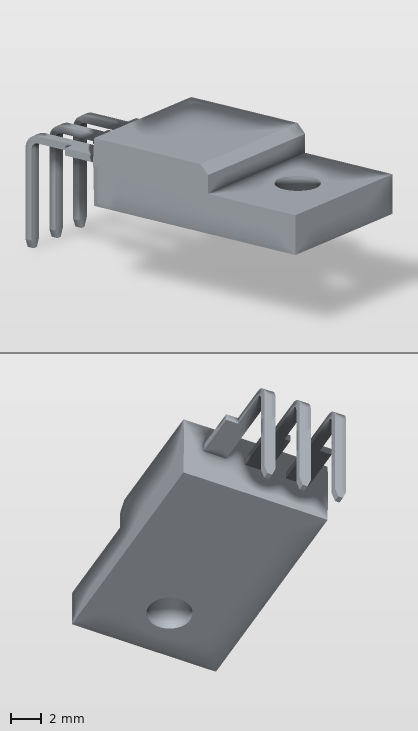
import cadquery as cq

total_length = 23.65
body_width = 10.4
body_height = 4.64
total_height = 9.6

body_start = 7.21
step_x = 16.55
tab_thickness = 2.72
chamfer_length = 0.61
draft_offset = 0.07
upper_draft_depth = 1.3
lower_draft_depth = 1.99
hole_diameter = 3.0
hole_x = 19.9

lead_thickness = 0.5
lead_width = 0.8
lead_pitch = 2.55
lead_top = body_height - 1.77
lead_bottom = body_height - total_height
bend_outer_radius = 1.0
bend_inner_radius = bend_outer_radius - lead_thickness
shoulder_x = 3.85
shoulder_width = 1.65
tip_length = 0.6
tip_width = 0.33
lead_embed = 0.24
lead_end = body_start + lead_embed


def make_body():
    """Stepped package with a slightly drafted lead-side face and a mounting hole."""
    profile = [
        (body_start + draft_offset, 0),
        (total_length, 0),
        (total_length, tab_thickness),
        (step_x, tab_thickness),
        (step_x, body_height - chamfer_length),
        (step_x - chamfer_length, body_height),
        (body_start + draft_offset, body_height),
        (body_start, body_height - upper_draft_depth),
        (body_start, body_height - lower_draft_depth),
    ]
    block = cq.Workplane("XZ").polyline(profile).close().extrude(body_width / 2, both=True)
    hole = cq.Workplane("XY").center(hole_x, 0).circle(hole_diameter / 2).extrude(body_height)
    return block.cut(hole)


def make_bent_strip():
    """Narrow lead with a right-angle bend and a tapered tip, centred on Y = 0."""
    bend_z = lead_top - bend_outer_radius
    strip = (
        cq.Workplane("XZ")
        .moveTo(lead_end, lead_top)
        .lineTo(bend_outer_radius, lead_top)
        .radiusArc((0, bend_z), -bend_outer_radius)
        .lineTo(0, lead_bottom)
        .lineTo(lead_thickness, lead_bottom)
        .lineTo(lead_thickness, bend_z)
        .radiusArc((bend_outer_radius, lead_top - lead_thickness), bend_inner_radius)
        .lineTo(lead_end, lead_top - lead_thickness)
        .close()
        .extrude(lead_width / 2, both=True)
    )
    tip_outline = [
        (-lead_width / 2, lead_top),
        (-lead_width / 2, lead_bottom + tip_length),
        (-tip_width / 2, lead_bottom),
        (tip_width / 2, lead_bottom),
        (lead_width / 2, lead_bottom + tip_length),
        (lead_width / 2, lead_top),
    ]
    tip_envelope = cq.Workplane("YZ").polyline(tip_outline).close().extrude(lead_end)
    return strip.intersect(tip_envelope)


def make_lead(side):
    """Lead at side -1, 0 or 1; outer leads have shoulders that widen outward only."""
    shoulder_shift = side * (shoulder_width - lead_width) / 2
    shoulder = cq.Workplane("XY").box(
        lead_end - shoulder_x, shoulder_width, lead_thickness, centered=(False, True, False)
    ).translate((shoulder_x, shoulder_shift, lead_top - lead_thickness))
    return make_bent_strip().union(shoulder).translate((0, side * lead_pitch, 0))


result = make_body()
for lead_side in (-1, 0, 1):
    result = result.union(make_lead(lead_side))